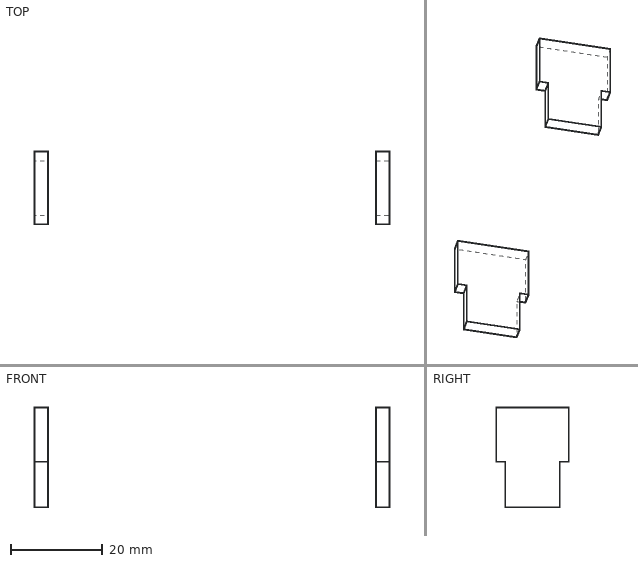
import cadquery as cq

overall_length = 78.0
plate_thickness = 3.0
head_width = 16.0
head_height = 12.0
tongue_width = 12.0
tongue_height = 10.0

plate_offset = (overall_length - plate_thickness) / 2


def stepped_plate(x_center):
    """Upright plate: a wide head above a narrower tongue, with the shoulders at Z = 0."""
    half_outline = [
        (0, head_height),
        (head_width / 2, head_height),
        (head_width / 2, 0),
        (tongue_width / 2, 0),
        (tongue_width / 2, -tongue_height),
        (0, -tongue_height),
    ]
    return (
        cq.Workplane("YZ", origin=(x_center, 0, 0))
        .polyline(half_outline)
        .mirrorY()
        .extrude(plate_thickness / 2, both=True)
    )


plates = [stepped_plate(side * plate_offset) for side in (-1, 1)]

result = cq.Compound.makeCompound([plate.solids().val() for plate in plates])